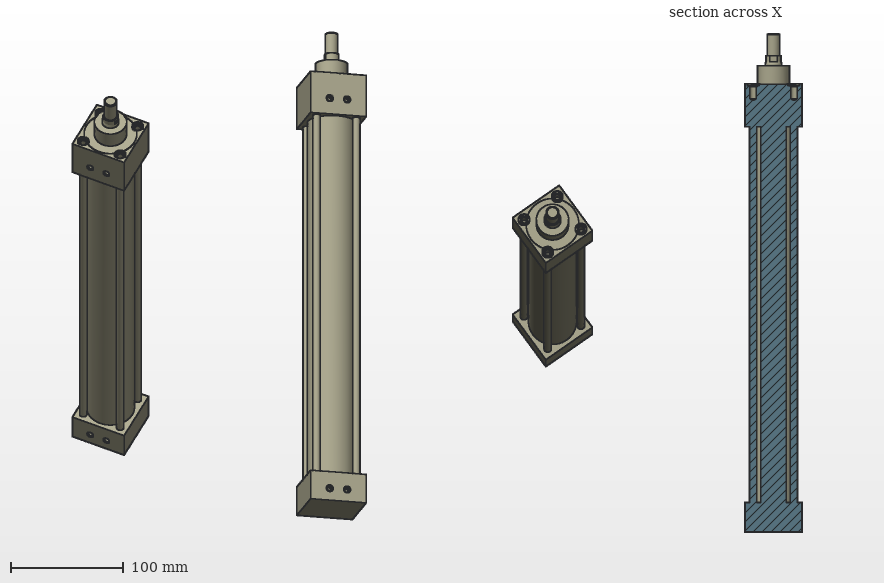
import cadquery as cq
import math

total_height = 441.5
cap_side = 50.8
rear_cap_height = 26.5
head_height = 38.5
head_top = 397.0
gland_height = 16.0
gland_diameter = 28.5

barrel_diameter = 43.0
tie_rod_diameter = 6.5
tie_rod_offset = 18.0

pocket_diameter = 10.0
pocket_depth = 1.8
screw_hole_diameter = 5.5
screw_hole_depth = 11.5

recess_diameter = 47.0
recess_depth = 0.5

drill_point_angle = 118.0
mouth_chamfer = 1.0

mount_hole_diameter = 4.5
mount_hole_depth = 5.5
mount_hole_offset = 8.0
rear_mount_height = 11.0
head_mount_height = 14.5

rod_diameter = 15.0
neck_diameter = 13.5
thread_diameter = 11.5
thread_chamfer = 1.0
flats_width = 12.0
flats_height = 5.5
rod_projection = 1.5
shoulder_height = 2.0

head_bottom = head_top - head_height
gland_top = head_top + gland_height
shoulder_bottom = gland_top + rod_projection
flats_bottom = shoulder_bottom + shoulder_height
flats_top = flats_bottom + flats_height


def disc(diameter, bottom, top):
    """Cylinder on the Z axis between two heights."""
    return cq.Workplane("XY").workplane(offset=bottom).circle(diameter / 2).extrude(top - bottom)


def corner_posts(diameter, bottom, top):
    """Four cylinders on the tie rod centres between two heights."""
    return (
        cq.Workplane("XY")
        .workplane(offset=bottom)
        .rect(2 * tie_rod_offset, 2 * tie_rod_offset, forConstruction=True)
        .vertices()
        .circle(diameter / 2)
        .extrude(top - bottom)
    )


def square_cap(bottom, height):
    """Square end cap standing on the given height."""
    return cq.Workplane("XY").workplane(offset=bottom).rect(cap_side, cap_side).extrude(height)


def drilled_hole(diameter, depth, mouth):
    """Round hole with a chamfered mouth and a conical drill point, opening upwards.

    The depth runs from the mouth to the end of the straight wall.
    """
    radius = diameter / 2
    tip_depth = depth + radius / math.tan(math.radians(drill_point_angle / 2))
    profile = [
        (0, 0),
        (radius + mouth_chamfer, 0),
        (radius, -mouth_chamfer),
        (radius, -depth),
        (0, -tip_depth),
    ]
    return cq.Workplane("XZ").polyline(profile).close().revolve().translate((0, 0, mouth))


def mount_holes(height):
    """Pair of blind holes entering the -Y face at the given height."""
    hole = drilled_hole(mount_hole_diameter, mount_hole_depth, 0).rotate((0, 0, 0), (1, 0, 0), 90)
    left_hole = hole.translate((-mount_hole_offset, -cap_side / 2, height))
    right_hole = hole.translate((mount_hole_offset, -cap_side / 2, height))
    return left_hole.union(right_hole)


def screw_holes():
    """Four drilled holes on the tie rod centres, entering the pocket floors."""
    hole = drilled_hole(screw_hole_diameter, screw_hole_depth, head_top - pocket_depth)
    return (
        cq.Workplane("XY")
        .rect(2 * tie_rod_offset, 2 * tie_rod_offset, forConstruction=True)
        .vertices()
        .eachpoint(lambda place: hole.val().moved(place))
    )


def make_housing():
    """Caps, barrel, tie rods and gland, bored for the piston rod."""
    body = square_cap(0, rear_cap_height)
    body = body.union(disc(barrel_diameter, rear_cap_height, head_bottom))
    body = body.union(corner_posts(tie_rod_diameter, rear_cap_height, head_bottom))
    body = body.union(square_cap(head_bottom, head_height))
    body = body.cut(disc(recess_diameter, head_top - recess_depth, head_top))
    body = body.union(disc(gland_diameter, head_top - recess_depth, gland_top))
    body = body.cut(corner_posts(pocket_diameter, head_top - pocket_depth, head_top))
    body = body.cut(screw_holes())
    body = body.cut(mount_holes(rear_mount_height))
    body = body.cut(mount_holes(head_bottom + head_mount_height))
    return body.cut(disc(rod_diameter, head_bottom, gland_top))


def coned_shoulder():
    """Cone narrowing the rod to its neck."""
    cone = cq.Solid.makeCone(
        rod_diameter / 2,
        neck_diameter / 2,
        shoulder_height,
        pnt=cq.Vector(0, 0, shoulder_bottom),
    )
    return cq.Workplane(cone)


def flatted_neck():
    """Neck with two wrench flats facing -X and +X."""
    flats_core = (
        cq.Workplane("XY")
        .workplane(offset=flats_bottom)
        .rect(flats_width, neck_diameter)
        .extrude(flats_height)
    )
    return disc(neck_diameter, flats_bottom, flats_top).intersect(flats_core)


def make_piston_rod():
    """Rod, coned shoulder, flatted neck and chamfered thread end as one solid."""
    rod = disc(rod_diameter, head_bottom, shoulder_bottom)
    rod = rod.union(coned_shoulder())
    rod = rod.union(flatted_neck())
    thread = disc(thread_diameter, flats_top, total_height).faces(">Z").chamfer(thread_chamfer)
    return rod.union(thread)


housing = make_housing()
piston_rod = make_piston_rod()

result = cq.Compound.makeCompound([housing.val(), piston_rod.val()])